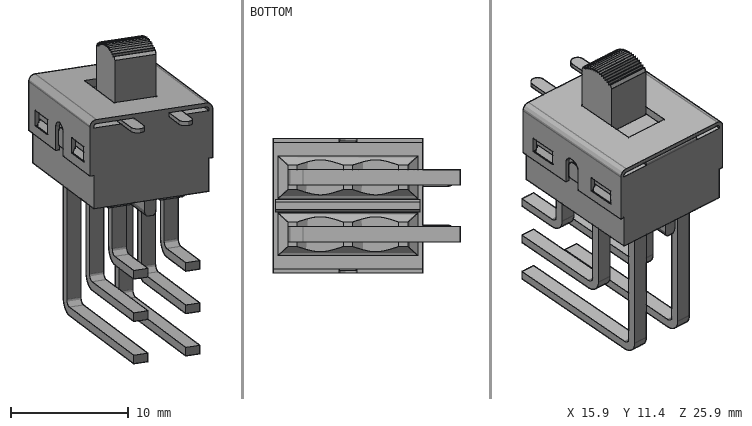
import cadquery as cq
import math


overall_length = 15.9
overall_height = 25.95
body_length = 12.7
housing_width = 10.7
housing_height = 7.27

sheet = 0.36
bracket_width = housing_width + 2 * sheet
bracket_top = housing_height + 2 * sheet
skirt_bottom = 2.99
bracket_outer_radius = 0.6
bracket_inner_radius = bracket_outer_radius - sheet

opening_length = 6.13
opening_width = 4.0

notch_width = 1.53
notch_top = 5.76
notch_rise = 0.6
boss_width = 1.4
boss_bottom = 3.45
boss_top = 5.22
boss_rise = 0.45
boss_depth = 0.13

window_x = 3.76
window_length = 2.55
window_bottom = 3.85
window_height = 1.38
catch_x = 3.7
catch_length = 2.28
catch_height = 0.6
catch_depth = 0.25

plate_width = 5.65
tab_width = 1.2
tab_end = 9.03

knob_length = 3.85
knob_width = 3.85
knob_top = 12.7
knob_x = (opening_length - knob_length) / 2
tooth_count = 15
tooth_pitch = 5.4
tooth_depth = 0.23
crown_radius = 2.85
shoulder_drop = 0.9

pin_thickness = 0.78
pin_width = 1.32
pin_pitch_x = 4.7
pin_row_y = 2.41
pin_reach = overall_length - body_length / 2
pin_pitch_z = 3.82
pin_lowest = knob_top - overall_height
bend_outer_radius = 1.3
bend_inner_radius = bend_outer_radius - pin_thickness

bead_drop = 0.62
bead_saddle_drop = 0.17
bead_flat_x = pin_thickness / 2
bead_foot_x = 1.25
bead_foot_y = 1.82
bead_flat_y = 1.05
bead_sag = 0.1

rib_length = 12.25
rib_width = 1.06
rib_height = 1.48
rib_flat_width = 0.62
rib_round_height = 0.47

SIDES = (-1, 1)
PIN_COLUMNS = 3


def block(length, width, bottom, top, x=0, y=0):
    """Box centred on (x, y) between two heights."""
    return cq.Workplane("XY", origin=(x, y, bottom)).rect(length, width).extrude(top - bottom)


def arch(width, bottom, top, rise, depth):
    """Upright arched plate of the given depth along Y, centred on Y = 0."""
    half = width / 2
    return (
        cq.Workplane("XZ")
        .moveTo(-half, bottom)
        .lineTo(-half, top - rise)
        .threePointArc((0, top), (half, top - rise))
        .lineTo(half, bottom)
        .close()
        .extrude(depth / 2, both=True)
    )


def catch(x, side):
    """Wedge that leaves the housing wall and gets deeper towards its lower edge."""
    wall = side * housing_width / 2
    return (
        cq.Workplane("YZ", origin=(x, 0, 0))
        .moveTo(0, window_bottom)
        .lineTo(wall + side * catch_depth, window_bottom)
        .lineTo(wall, window_bottom + catch_height)
        .lineTo(0, window_bottom + catch_height)
        .close()
        .extrude(catch_length / 2, both=True)
    )


def make_housing():
    """Plain block with an arched boss and two catches on each long side."""
    housing = block(body_length, housing_width, 0, housing_height)
    boss_span = housing_width + 2 * boss_depth
    housing = housing.union(arch(boss_width, boss_bottom, boss_top, boss_rise, boss_span))
    for side in SIDES:
        for x in (-catch_x, catch_x):
            housing = housing.union(catch(x, side))
    return housing


def make_bracket():
    """U-shaped sheet with a notch and two windows in each skirt."""
    outer = block(body_length, bracket_width, skirt_bottom, bracket_top)
    outer = outer.edges("|X and >Z").fillet(bracket_outer_radius)
    inner = block(body_length, housing_width, skirt_bottom, bracket_top - sheet)
    inner = inner.edges("|X and >Z").fillet(bracket_inner_radius)
    bracket = outer.cut(inner)
    bracket = bracket.cut(arch(notch_width, skirt_bottom, notch_top, notch_rise, bracket_width))
    window_top = window_bottom + window_height
    for x in (-window_x, window_x):
        bracket = bracket.cut(block(window_length, bracket_width, window_bottom, window_top, x))
    return bracket


def make_bend_relief(top):
    """Corner that is removed to round the outside of the plate's bend."""
    end = -body_length / 2
    diagonal = sheet * math.sqrt(0.5)
    return (
        cq.Workplane("XZ")
        .moveTo(end, top - sheet)
        .threePointArc((end + sheet - diagonal, top - sheet + diagonal), (end + sheet, top))
        .lineTo(end, top)
        .close()
        .extrude(plate_width / 2, both=True)
    )


def make_contact_plate():
    """Thin plate on top of the housing, with two tabs reaching out at +X."""
    top = housing_height + sheet
    plate = block(body_length, plate_width, housing_height, top)
    plate = plate.cut(make_bend_relief(top))
    tab_start = opening_length / 2
    tab_round_x = tab_end - tab_width / 2
    for side in SIDES:
        tab_y = side * (plate_width - tab_width) / 2
        tab_x = (tab_start + tab_round_x) / 2
        plate = plate.union(block(tab_round_x - tab_start, tab_width, housing_height, top, tab_x, tab_y))
        tip = cq.Workplane("XY", origin=(tab_round_x, tab_y, housing_height))
        plate = plate.union(tip.circle(tab_width / 2).extrude(sheet))
    return plate


def crown_point(radius, pitches):
    """Point on the crown, a number of tooth pitches away from its middle."""
    angle = math.radians(pitches * tooth_pitch)
    centre_z = knob_top - crown_radius
    return (knob_x + radius * math.sin(angle), centre_z + radius * math.cos(angle))


def make_knob():
    """Upright knob with radial teeth along its arched top."""
    left = knob_x - knob_length / 2
    right = knob_x + knob_length / 2
    shoulder = knob_top - shoulder_drop
    last_tooth = (tooth_count - 1) // 2
    outline = [(left, housing_height), (left, shoulder)]
    for tooth in range(-last_tooth, last_tooth + 1):
        outline.append(crown_point(crown_radius, tooth))
        if tooth < last_tooth:
            outline.append(crown_point(crown_radius - tooth_depth, tooth + 0.5))
    outline += [(right, shoulder), (right, housing_height)]
    return cq.Workplane("XZ").polyline(outline).close().extrude(knob_width / 2, both=True)


def make_pin(column, y):
    """L-shaped pin: down from the housing, then bent towards +X."""
    left = (column - 1) * pin_pitch_x - pin_thickness / 2
    right = left + pin_thickness
    bottom = pin_lowest + column * pin_pitch_z
    top = bottom + pin_thickness
    pin = (
        cq.Workplane("XZ", origin=(0, y, 0))
        .moveTo(left, 0)
        .lineTo(left, bottom)
        .lineTo(pin_reach, bottom)
        .lineTo(pin_reach, top)
        .lineTo(right, top)
        .lineTo(right, 0)
        .close()
        .extrude(pin_width / 2, both=True)
    )
    pin = pin.edges(cq.selectors.NearestToPointSelector((left, y, bottom))).fillet(bend_outer_radius)
    return pin.edges(cq.selectors.NearestToPointSelector((right, y, top))).fillet(bend_inner_radius)


def sagging_middle(start, end):
    """Middle of a bead flank, drawn in towards the housing so that the flank is hollow."""
    return ((start[0] + end[0]) / 2, (start[1] + end[1]) / 2 + bead_sag)


def make_bead(y):
    """Hollow-sided bead that is deepest at the three pins of a row."""
    low = -bead_drop
    foot = (-pin_pitch_x - bead_foot_x, 0)
    flat = (-pin_pitch_x - bead_flat_x, low)
    lengthwise = cq.Workplane("XZ", origin=(0, y, 0)).moveTo(*foot)
    lengthwise = lengthwise.threePointArc(sagging_middle(foot, flat), flat)
    for pin_x in (-pin_pitch_x, 0):
        next_pin = pin_x + pin_pitch_x
        saddle = (pin_x + pin_pitch_x / 2, -bead_saddle_drop)
        lengthwise = lengthwise.lineTo(pin_x + bead_flat_x, low)
        lengthwise = lengthwise.threePointArc(saddle, (next_pin - bead_flat_x, low))
    flat = (pin_pitch_x + bead_flat_x, low)
    foot = (pin_pitch_x + bead_foot_x, 0)
    lengthwise = lengthwise.lineTo(*flat).threePointArc(sagging_middle(flat, foot), foot)
    lengthwise = lengthwise.close().extrude(bead_foot_y, both=True)

    crosswise = (
        cq.Workplane("YZ", origin=(0, y, 0))
        .moveTo(-bead_foot_y, 0)
        .threePointArc(sagging_middle((-bead_foot_y, 0), (-bead_flat_y, low)), (-bead_flat_y, low))
        .lineTo(bead_flat_y, low)
        .threePointArc(sagging_middle((bead_flat_y, low), (bead_foot_y, 0)), (bead_foot_y, 0))
        .close()
        .extrude(body_length / 2, both=True)
    )
    return lengthwise.intersect(crosswise)


def make_rib():
    """Rib whose rounded lower corners leave the sides smoothly and meet a flat bottom at an angle."""
    half = rib_width / 2
    half_flat = rib_flat_width / 2
    round_top = rib_round_height - rib_height
    inset = half - half_flat
    radius = (rib_round_height**2 + inset**2) / (2 * inset)
    half_sweep = math.asin(rib_round_height / radius) / 2
    middle_y = half - radius * (1 - math.cos(half_sweep))
    middle_z = round_top - radius * math.sin(half_sweep)
    return (
        cq.Workplane("YZ")
        .moveTo(-half, 0)
        .lineTo(-half, round_top)
        .threePointArc((-middle_y, middle_z), (-half_flat, -rib_height))
        .lineTo(half_flat, -rib_height)
        .threePointArc((middle_y, middle_z), (half, round_top))
        .lineTo(half, 0)
        .close()
        .extrude(rib_length / 2, both=True)
    )


result = make_housing().union(make_contact_plate()).union(make_bracket())
result = result.cut(block(opening_length, opening_width, housing_height, bracket_top))
result = result.union(make_knob()).union(make_rib())
for side in SIDES:
    row_y = side * pin_row_y
    result = result.union(make_bead(row_y))
    for column in range(PIN_COLUMNS):
        result = result.union(make_pin(column, row_y))